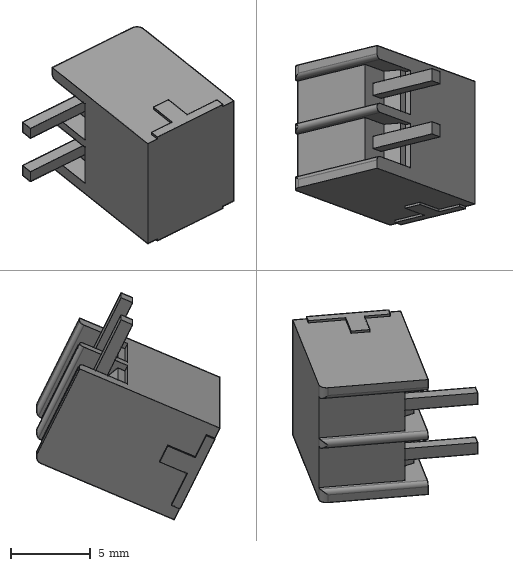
import cadquery as cq


body_length = 9.7
total_width = 10.3
body_width = 6.9
corner_radius = 0.5
total_height = 8.4
rail_height = 0.15
body_height = total_height - 2 * rail_height

bay_count = 2
bay_depth = 3.32
bay_height = 2.9
rib_thickness = 0.6
bay_pitch = bay_height + rib_thickness
edge_radius = rib_thickness / 2
bay_centres = [(i - (bay_count - 1) / 2) * bay_pitch for i in range(bay_count)]

core_recess = 0.53
pin_face_inset = 1.4
pin_face_end = 2.37
ledge_inset = 0.4
ledge_start = 2.82

pin_size = 0.8
pin_centre_x = 1.7
pin_reach = total_width - body_width

bar_length = 5.25
bar_width = 0.6
bar_rear_gap = 0.89
stem_reach = 2.5
stem_width = 1.2
stem_rear_gap = 3.28


def box(x_range, y_range, z_range):
    """Box spanning the given start and end along each axis."""
    spans = [end - start for start, end in (x_range, y_range, z_range)]
    corner = (x_range[0], y_range[0], z_range[0])
    return cq.Workplane("XY").box(*spans, centered=False).translate(corner)


def make_housing():
    """Block with one rounded upright corner at the rear of the open side."""
    half_height = body_height / 2
    block = box((0, body_length), (0, body_width), (-half_height, half_height))
    return block.edges("|Z and <X and >Y").fillet(corner_radius)


def make_bay(centre_z):
    """Cutter for one bay, flared at its mouth to round the wall edges beside it."""
    half_height = bay_height / 2
    half_mouth = half_height + edge_radius
    return (
        cq.Workplane("XZ", origin=(0, body_width, centre_z))
        .moveTo(0, -half_mouth)
        .radiusArc((edge_radius, -half_height), edge_radius)
        .lineTo(bay_depth, -half_height)
        .lineTo(bay_depth, half_height)
        .lineTo(edge_radius, half_height)
        .radiusArc((0, half_mouth), edge_radius)
        .close()
        .extrude(body_width)
    )


def make_core(centre_z):
    """Bay filling whose front slopes from the pin face out to a shallow ledge."""
    outline = [
        (core_recess, body_width),
        (core_recess, pin_face_inset),
        (pin_face_end, pin_face_inset),
        (ledge_start, ledge_inset),
        (bay_depth, ledge_inset),
        (bay_depth, body_width),
    ]
    return (
        cq.Workplane("XY", origin=(0, 0, centre_z))
        .polyline(outline)
        .close()
        .extrude(bay_height / 2, both=True)
    )


def make_pin(centre_z):
    """Square pin standing out of the pin face toward -Y."""
    half_size = pin_size / 2
    return box(
        (pin_centre_x - half_size, pin_centre_x + half_size),
        (-pin_reach, pin_face_inset),
        (centre_z - half_size, centre_z + half_size),
    )


def make_rail():
    """T-shaped rail on the top face, its bar flush with the +X side."""
    z_range = (body_height / 2, total_height / 2)
    bar_rear = body_width - bar_rear_gap
    stem_rear = body_width - stem_rear_gap
    bar = box((body_length - bar_width, body_length), (bar_rear - bar_length, bar_rear), z_range)
    stem = box((body_length - stem_reach, body_length), (stem_rear - stem_width, stem_rear), z_range)
    return bar.union(stem)


result = make_housing()
for bay_z in bay_centres:
    result = result.cut(make_bay(bay_z))
for bay_z in bay_centres:
    result = result.union(make_core(bay_z)).union(make_pin(bay_z))

top_rail = make_rail()
result = result.union(top_rail).union(top_rail.mirror("XY"))